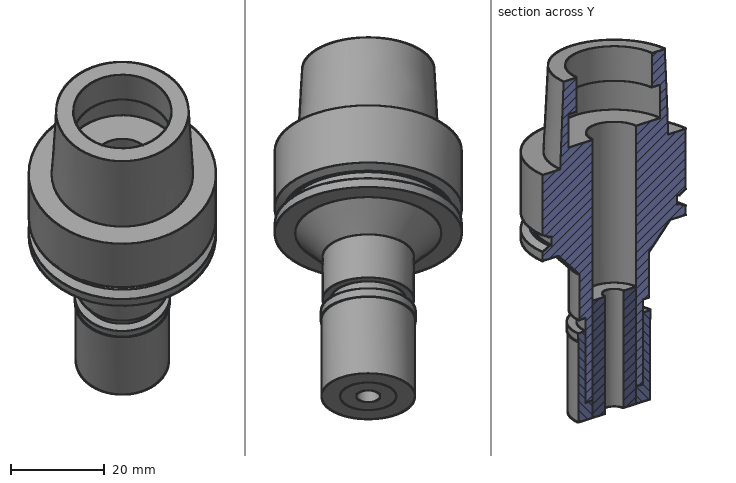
import cadquery as cq

TOTAL_LENGTH = 80.0
TAPER_LENGTH = 20.0
FLANGE_HEIGHT = 20.0
FLANGE_TOP = TOTAL_LENGTH - TAPER_LENGTH
FLANGE_BOTTOM = FLANGE_TOP - FLANGE_HEIGHT
NECK_TOP = 34.2
NECK_BOTTOM = 23.6
NUT_TOP = 20.7
NUT_COLLAR_HEIGHT = 2.0
NUT_LIP_THICKNESS = 4.0

TAPER_TOP_RADIUS = 14.2
TAPER_BASE_RADIUS = 15.1
FLANGE_RADIUS = 20.0
NECK_RADIUS = 9.8
SPIGOT_RADIUS = 8.1
CONE_TOP_RADIUS = NECK_RADIUS + FLANGE_BOTTOM - NECK_TOP

GROOVE_RADIUS = 17.5
GROOVE_LEDGE_RADIUS = 18.2
GROOVE_CENTER = 44.1
GROOVE_FLOOR_WIDTH = 1.9
GROOVE_MOUTH_WIDTH = 3.8

MOUTH_RADIUS = 10.5
MOUTH_DEPTH = 8.0
UNDERCUT_RADIUS = 12.7
CAVITY_DEPTH = 15.6

NUT_RADIUS = 10.0
NUT_COLLAR_RADIUS = 10.2
COLLET_RADIUS = 6.0
COLLET_BORE_RADIUS = 2.6
COLLET_LENGTH = 27.2


def cylinder(radius, bottom, top):
    """Cylinder on the Z axis between two levels."""
    return cq.Workplane("XY").workplane(offset=bottom).circle(radius).extrude(top - bottom)


def make_holder():
    """Hollow taper, grooved flange, cone, neck and spigot, bored through."""
    half_floor = GROOVE_FLOOR_WIDTH / 2
    half_mouth = GROOVE_MOUTH_WIDTH / 2
    profile = [
        (0, NUT_LIP_THICKNESS),
        (SPIGOT_RADIUS, NUT_LIP_THICKNESS),
        (SPIGOT_RADIUS, NECK_BOTTOM),
        (NECK_RADIUS, NECK_BOTTOM),
        (NECK_RADIUS, NECK_TOP),
        (CONE_TOP_RADIUS, FLANGE_BOTTOM),
        (FLANGE_RADIUS, FLANGE_BOTTOM),
        (FLANGE_RADIUS, GROOVE_CENTER - half_mouth),
        (GROOVE_LEDGE_RADIUS, GROOVE_CENTER - half_floor),
        (GROOVE_RADIUS, GROOVE_CENTER - half_floor),
        (GROOVE_RADIUS, GROOVE_CENTER + half_floor),
        (GROOVE_LEDGE_RADIUS, GROOVE_CENTER + half_floor),
        (FLANGE_RADIUS, GROOVE_CENTER + half_mouth),
        (FLANGE_RADIUS, FLANGE_TOP),
        (TAPER_BASE_RADIUS, FLANGE_TOP),
        (TAPER_TOP_RADIUS, TOTAL_LENGTH),
        (0, TOTAL_LENGTH),
    ]
    body = cq.Workplane("XZ").polyline(profile).close().revolve(360, (0, 0), (0, 1))
    undercut_top = TOTAL_LENGTH - MOUTH_DEPTH
    cavity_floor = TOTAL_LENGTH - CAVITY_DEPTH
    mouth = cylinder(MOUTH_RADIUS, undercut_top, TOTAL_LENGTH)
    undercut = cylinder(UNDERCUT_RADIUS, cavity_floor, undercut_top)
    collet_bore = cylinder(COLLET_RADIUS, NUT_LIP_THICKNESS, cavity_floor)
    return body.cut(mouth).cut(undercut).cut(collet_bore)


def make_nut():
    """Clamping nut with a collar, a socket for the spigot and a collet opening."""
    collar = cylinder(NUT_COLLAR_RADIUS, NUT_TOP - NUT_COLLAR_HEIGHT, NUT_TOP)
    socket = cylinder(SPIGOT_RADIUS, NUT_LIP_THICKNESS, NUT_TOP)
    opening = cylinder(COLLET_RADIUS, 0, NUT_LIP_THICKNESS)
    return cylinder(NUT_RADIUS, 0, NUT_TOP).union(collar).cut(socket).cut(opening)


def make_collet():
    """Plain bored sleeve held in the holder and flush with the nose of the nut."""
    bore = cylinder(COLLET_BORE_RADIUS, 0, COLLET_LENGTH)
    return cylinder(COLLET_RADIUS, 0, COLLET_LENGTH).cut(bore)


holder = make_holder()
nut = make_nut()
collet = make_collet()

result = cq.Compound.makeCompound([holder.val(), nut.val(), collet.val()])